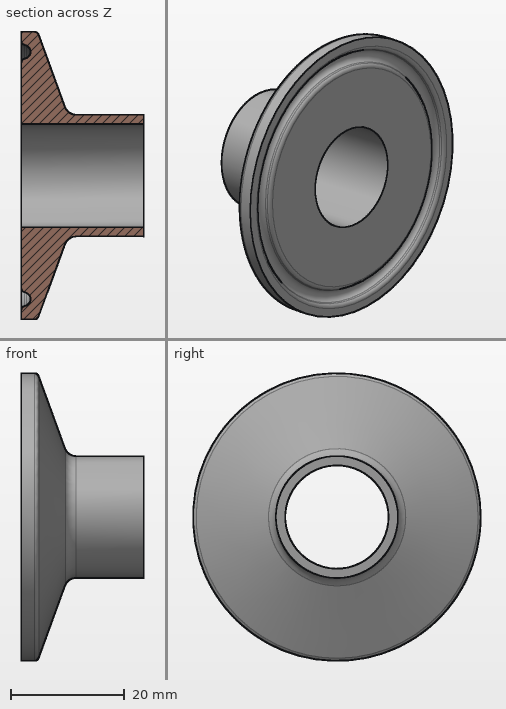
import cadquery as cq
import math

flange_radius = 25.25
total_length = 21.5
tube_radius = 10.7
bore_radius = 9.05
rim_width = 2.3
rim_edge_radius = 0.8
cone_angle = 20.0
neck_fillet_radius = 2.0

groove_inner_radius = 19.75
groove_outer_radius = 23.7
groove_lip_radius = 0.8
groove_floor_radius = 1.15
groove_wall_angle = 70.0

slope = math.radians(cone_angle)
cone_start_x = rim_width + rim_edge_radius * math.tan((math.pi / 2 - slope) / 2)
cone_end_x = cone_start_x + (flange_radius - tube_radius) * math.tan(slope)


def edge_ring(x):
    """Select the circular edge that lies at the given X."""
    margin = 0.05
    reach = flange_radius + margin
    return cq.selectors.BoxSelector(
        (x - margin, -reach, -reach),
        (x + margin, reach, reach),
        boundingbox=True,
    )


def revolve_about_x(profile):
    return profile.revolve(360, (0, 0, 0), (1, 0, 0))


def make_body():
    """Revolve the flange, cone and tube, then round the rim and the neck."""
    profile = (
        cq.Workplane("XY")
        .moveTo(0, bore_radius)
        .lineTo(0, flange_radius)
        .lineTo(cone_start_x, flange_radius)
        .lineTo(cone_end_x, tube_radius)
        .lineTo(total_length, tube_radius)
        .lineTo(total_length, bore_radius)
        .close()
    )
    body = revolve_about_x(profile)
    body = body.edges(edge_ring(cone_start_x)).fillet(rim_edge_radius)
    return body.edges(edge_ring(cone_end_x)).fillet(neck_fillet_radius)


def make_groove():
    """Revolve the groove section, in which every arc is tangent to the walls."""
    middle_radius = (groove_inner_radius + groove_outer_radius) / 2
    half_width = (groove_outer_radius - groove_inner_radius) / 2
    wall = math.radians(groove_wall_angle)

    def lip_point(angle):
        """Depth and distance from the groove middle on a lip, by its tangent angle."""
        depth = groove_lip_radius * (1 - math.cos(angle))
        return depth, half_width - groove_lip_radius * math.sin(angle)

    lip_mid_depth, lip_mid_offset = lip_point(wall / 2)
    wall_top_depth, wall_top_offset = lip_point(wall)
    wall_bottom_offset = groove_floor_radius * math.sin(wall)
    wall_bottom_depth = wall_top_depth + (wall_top_offset - wall_bottom_offset) * math.tan(wall)
    floor_depth = wall_bottom_depth + groove_floor_radius * (1 - math.cos(wall))

    profile = (
        cq.Workplane("XY")
        .moveTo(0, groove_inner_radius)
        .threePointArc(
            (lip_mid_depth, middle_radius - lip_mid_offset),
            (wall_top_depth, middle_radius - wall_top_offset),
        )
        .lineTo(wall_bottom_depth, middle_radius - wall_bottom_offset)
        .threePointArc(
            (floor_depth, middle_radius),
            (wall_bottom_depth, middle_radius + wall_bottom_offset),
        )
        .lineTo(wall_top_depth, middle_radius + wall_top_offset)
        .threePointArc(
            (lip_mid_depth, middle_radius + lip_mid_offset),
            (0, groove_outer_radius),
        )
        .close()
    )
    return revolve_about_x(profile)


result = make_body().cut(make_groove())